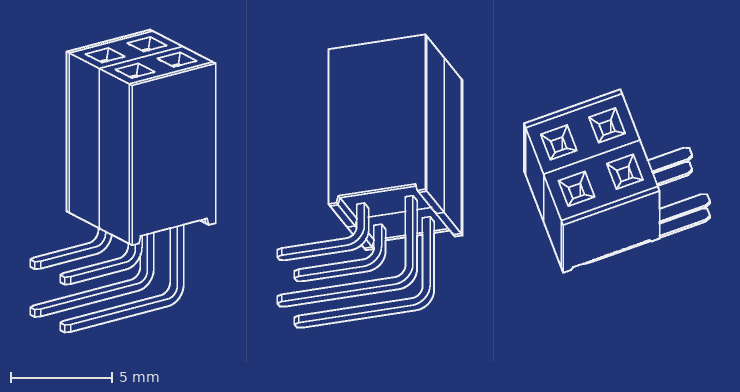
import cadquery as cq


pitch = 2.54
column_count = 2
row_count = 2
housing_width = 5.59
plate_thickness = (housing_width - column_count * pitch) / 2
housing_depth = row_count * pitch
housing_height = 8.5
foot_height = 0.37
foot_width = 0.42
foot_root_width = 0.53

pin_width = 0.62
funnel_width = 1.4
funnel_depth = 0.4
socket_width = pin_width
socket_depth = 5.78

pin_thickness = 0.4
pin_drop = 4.34
pin_reach = 3.15
bend_inner_radius = 0.56
tip_length = 0.28
tip_inset = 0.12

bend_outer_radius = bend_inner_radius + pin_thickness
tip_y = -housing_depth / 2 - pin_reach


def centred_positions(count):
    """Positions at the contact pitch, centred on zero."""
    return [(i - (count - 1) / 2) * pitch for i in range(count)]


column_xs = centred_positions(column_count)
row_ys = centred_positions(row_count)


def housing_slice(x_min, thickness):
    """Slab of the housing: a tall YZ profile with a foot along each lower edge."""
    half_depth = housing_depth / 2
    half_gap = half_depth - foot_width
    half_underside = half_depth - foot_root_width
    profile = [
        (-half_depth, 0),
        (-half_gap, 0),
        (-half_underside, foot_height),
        (half_underside, foot_height),
        (half_gap, 0),
        (half_depth, 0),
        (half_depth, housing_height),
        (-half_depth, housing_height),
    ]
    return cq.Workplane("YZ", origin=(x_min, 0, 0)).polyline(profile).close().extrude(thickness)


def socket_cutter(x, y):
    """Square funnel that narrows into a straight square hole with a flat floor."""
    top = cq.Workplane("XY", origin=(x, y, housing_height))
    funnel = (
        top.rect(funnel_width, funnel_width)
        .workplane(offset=-funnel_depth)
        .rect(socket_width, socket_width)
        .loft(ruled=True)
    )
    hole = top.rect(socket_width, socket_width).extrude(-socket_depth)
    return funnel.union(hole)


def socket_block(x):
    """Housing block one pitch wide, with one column of sockets."""
    block = housing_slice(x - pitch / 2, pitch)
    for y in row_ys:
        block = block.cut(socket_cutter(x, y))
    return block


def bent_pin(x, y, bottom_z):
    """Flat pin from the housing underside, bent forward to a tapered tip."""
    back_y = y + pin_thickness / 2
    front_y = y - pin_thickness / 2
    upper_z = bottom_z + pin_thickness
    bend_y = front_y - bend_inner_radius
    bend_z = upper_z + bend_inner_radius

    pin = (
        cq.Workplane("YZ", origin=(x, 0, 0))
        .moveTo(back_y, foot_height)
        .lineTo(back_y, bend_z)
        .radiusArc((bend_y, bottom_z), bend_outer_radius)
        .lineTo(tip_y, bottom_z)
        .lineTo(tip_y, upper_z)
        .lineTo(bend_y, upper_z)
        .radiusArc((front_y, bend_z), -bend_inner_radius)
        .lineTo(front_y, foot_height)
        .close()
        .extrude(pin_width / 2, both=True)
    )
    for side in (-1, 1):
        edge_x = x + side * pin_width / 2
        triangle = [
            (edge_x, tip_y),
            (edge_x, tip_y + tip_length),
            (edge_x - side * tip_inset, tip_y),
        ]
        corner = (
            cq.Workplane("XY", origin=(0, 0, bottom_z))
            .polyline(triangle)
            .close()
            .extrude(pin_thickness)
        )
        pin = pin.cut(corner)
    return pin


blocks_half_width = column_count * pitch / 2
end_plates = [
    housing_slice(x_min, plate_thickness)
    for x_min in (-blocks_half_width - plate_thickness, blocks_half_width)
]

socket_blocks = [socket_block(x) for x in column_xs]

rear_row_y = max(row_ys)
pins = [bent_pin(x, y, -pin_drop + rear_row_y - y) for x in column_xs for y in row_ys]

result = cq.Compound.makeCompound([body.val() for body in end_plates + socket_blocks + pins])